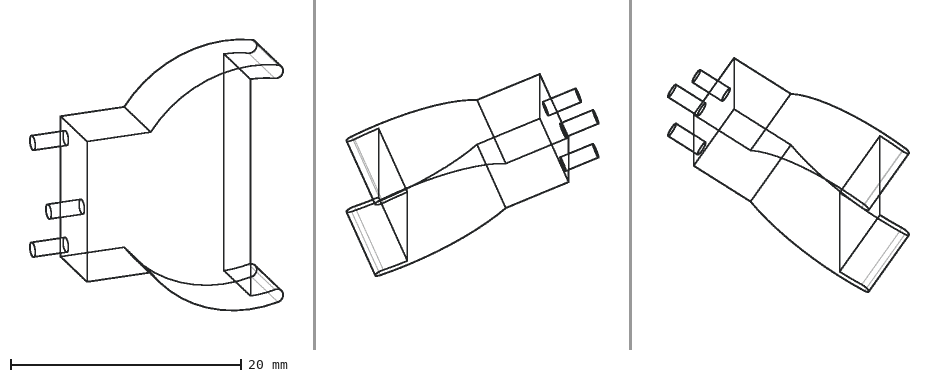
import cadquery as cq
import math

thickness = 6.3
outer_radius = 11.4
wall = 1.25
total_length = 21.4

neck_height = 13.16
pin_diameter = 1.3
pin_length = 3.1
pin_x_offset = 1.9
pin_z_pitch = 5.0

back_face_y = 0.0
front_face_y = -15.25

inner_radius = outer_radius - wall
lip_radius = wall / 2
lip_mid_radius = outer_radius - lip_radius
lip_tip_y = front_face_y - pin_length + total_length
lip_end_y = lip_tip_y - lip_radius
lip_end_angle = math.acos(lip_end_y / lip_mid_radius)

neck_half = neck_height / 2
neck_join_y = -math.sqrt(outer_radius**2 - neck_half**2)
neck_angle = math.atan2(neck_half, neck_join_y)

back_inner_angle = math.acos(back_face_y / inner_radius)


def polar(radius, angle):
    """Point (y, z) on a circle about the disc axis."""
    return (radius * math.cos(angle), radius * math.sin(angle))


def mirrored(point):
    """The same point on the lower half of the profile."""
    return (point[0], -point[1])


def make_body():
    """Plate with a round head, a rectangular neck and two curved lips."""
    outer_join = (neck_join_y, neck_half)
    outer_mid = polar(outer_radius, (neck_angle + lip_end_angle) / 2)
    outer_end = polar(outer_radius, lip_end_angle)
    lip_center = polar(lip_mid_radius, lip_end_angle)
    lip_tip = (
        lip_center[0] + lip_radius * math.sin(lip_end_angle),
        lip_center[1] - lip_radius * math.cos(lip_end_angle),
    )
    inner_end = polar(inner_radius, lip_end_angle)
    inner_mid = polar(inner_radius, (lip_end_angle + back_inner_angle) / 2)
    inner_root = polar(inner_radius, back_inner_angle)

    return (
        cq.Workplane("YZ", origin=(-thickness / 2, 0, 0))
        .moveTo(front_face_y, -neck_half)
        .lineTo(front_face_y, neck_half)
        .lineTo(*outer_join)
        .threePointArc(outer_mid, outer_end)
        .threePointArc(lip_tip, inner_end)
        .threePointArc(inner_mid, inner_root)
        .lineTo(*mirrored(inner_root))
        .threePointArc(mirrored(inner_mid), mirrored(inner_end))
        .threePointArc(mirrored(lip_tip), mirrored(outer_end))
        .threePointArc(mirrored(outer_mid), mirrored(outer_join))
        .close()
        .extrude(thickness)
    )


def make_pins():
    """Three round pins standing out of the front face of the neck."""
    pin_centers = [
        (-pin_x_offset, pin_z_pitch),
        (pin_x_offset, 0),
        (-pin_x_offset, -pin_z_pitch),
    ]
    return (
        cq.Workplane("XZ", origin=(0, front_face_y, 0))
        .pushPoints(pin_centers)
        .circle(pin_diameter / 2)
        .extrude(pin_length)
    )


result = make_body().union(make_pins())